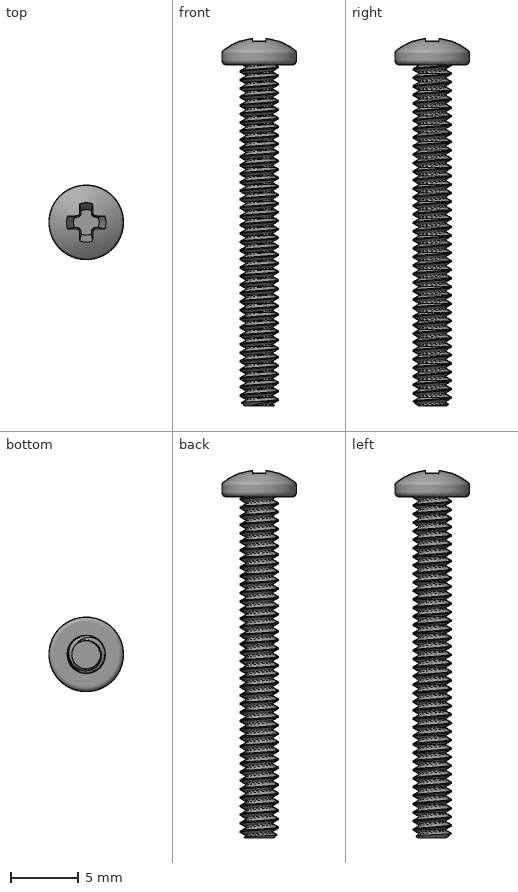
import cadquery as cq
import math

INCH = 25.4

shank_length = 1.0 * INCH
threads_per_inch = 40
pitch = INCH / threads_per_inch
turn_count = round(shank_length / pitch)
flank_slope = math.tan(math.radians(30))
major_radius = 0.112 * INCH / 2
sharp_height = pitch / (2 * flank_slope)
thread_depth = 17 / 24 * sharp_height
root_radius = major_radius - thread_depth
crest_flat = pitch / 8
end_chamfer = 0.35
crest_height_at_plus_x = -2.07

head_radius = 5.56 / 2
dome_height = 2.03
rim_height = 1.0
underside_fillet = 0.35
rim_fillet = 0.3

recess_depth = 1.7
arm_width = 1.0
arm_draft = 4.0
arm_corner_fillet = 0.22
recess_top_radius = 1.56
recess_floor_radius = 0.95


def make_head():
    """Domed disc with rounded rim edges."""
    dome_rise = dome_height - rim_height
    dome_radius = (head_radius**2 + dome_rise**2) / (2 * dome_rise)
    mid_radius = head_radius / 2
    mid_height = dome_height - dome_radius + math.sqrt(dome_radius**2 - mid_radius**2)
    head = (
        cq.Workplane("XZ")
        .lineTo(head_radius, 0)
        .lineTo(head_radius, rim_height)
        .threePointArc((mid_radius, mid_height), (0, dome_height))
        .close()
        .revolve(360, (0, 0, 0), (0, 1, 0))
    )
    head = head.faces("<Z").edges().fillet(underside_fillet)
    rim_edge = cq.selectors.NearestToPointSelector((0, 0, rim_height))
    return head.edges(rim_edge).fillet(rim_fillet)


def make_recess():
    """Cross with drafted walls whose arms end on a cone that narrows downward."""
    arm_length = 2 * recess_top_radius
    inner_corner_box = (
        (-arm_width, -arm_width, -arm_width),
        (arm_width, arm_width, arm_width),
    )
    outline = (
        cq.Sketch()
        .rect(2 * arm_length, arm_width)
        .rect(arm_width, 2 * arm_length)
        .clean()
        .vertices(cq.selectors.BoxSelector(*inner_corner_box))
        .fillet(arm_corner_fillet)
    )
    top = cq.Workplane("XY").workplane(offset=dome_height)
    cross = top.placeSketch(outline).extrude(-recess_depth, taper=arm_draft)
    cone = cq.Workplane(
        cq.Solid.makeCone(
            recess_floor_radius,
            recess_top_radius,
            recess_depth,
            pnt=cq.Vector(0, 0, dome_height - recess_depth),
        )
    )
    return cross.intersect(cone)


def polar_point(radius, angle):
    """Point in the XY plane at an angle in radians."""
    return (radius * math.cos(angle), radius * math.sin(angle))


def make_thread_turn():
    """Lowest turn of the shank: the thread cross-section twisted once over one pitch.

    A section square to the axis shows a crest arc, two spiral flanks and a root arc.
    """
    flank_points = 12
    half_crest_angle = math.pi * crest_flat / pitch
    flank_run = thread_depth * flank_slope
    flank_angle = 2 * math.pi * flank_run / pitch
    root_angle = half_crest_angle + flank_angle
    crest_angle = 2 * math.pi * (-shank_length - crest_height_at_plus_x) / pitch

    def rising_flank(t):
        return polar_point(root_radius + t * thread_depth, crest_angle - root_angle + t * flank_angle)

    def falling_flank(t):
        return polar_point(major_radius - t * thread_depth, crest_angle + half_crest_angle + t * flank_angle)

    section = (
        cq.Workplane("XY")
        .workplane(offset=-shank_length)
        .moveTo(*rising_flank(0))
        .parametricCurve(rising_flank, N=flank_points, makeWire=False)
        .threePointArc(polar_point(major_radius, crest_angle), falling_flank(0))
        .parametricCurve(falling_flank, N=flank_points, makeWire=False)
        .threePointArc(polar_point(root_radius, crest_angle + math.pi), rising_flank(0))
        .close()
    )
    return section.twistExtrude(pitch, 360)


def make_end_chamfer_cutter():
    """Ring outside the 45 degree cone at the free end of the shank."""
    clearance = 0.1
    end_radius = major_radius - end_chamfer
    return (
        cq.Workplane("XZ", origin=(0, 0, -shank_length))
        .moveTo(end_radius - clearance, -clearance)
        .lineTo(major_radius + clearance, -clearance)
        .lineTo(major_radius + clearance, end_chamfer + clearance)
        .close()
        .revolve(360, (0, 0, 0), (0, 1, 0))
    )


def skin_without_joint(solid, *joint_heights):
    """Faces of a solid except the flat ones at the joint heights."""
    tolerance = 1e-4

    def is_joint(face):
        if face.geomType() != "PLANE":
            return False
        return any(abs(face.Center().z - height) < tolerance for height in joint_heights)

    return [face for face in solid.Faces() if not is_joint(face)]


def make_screw():
    """Chamfered end turn, equal middle turns, and head with the top turn, in one outer skin."""
    turn = make_thread_turn()
    end = turn.cut(make_end_chamfer_cutter())
    top_turn = turn.translate((0, 0, shank_length - pitch))
    head = make_head().cut(make_recess()).union(top_turn, clean=False)

    skin = skin_without_joint(end.val(), -shank_length + pitch)
    skin += skin_without_joint(head.solids().val(), -pitch)
    ring = skin_without_joint(turn.val(), -shank_length, -shank_length + pitch)
    for index in range(1, turn_count - 1):
        shift = cq.Vector(0, 0, index * pitch)
        skin += [face.translate(shift) for face in ring]
    return cq.Solid.makeSolid(cq.Shell.makeShell(skin))


result = cq.Workplane(make_screw())